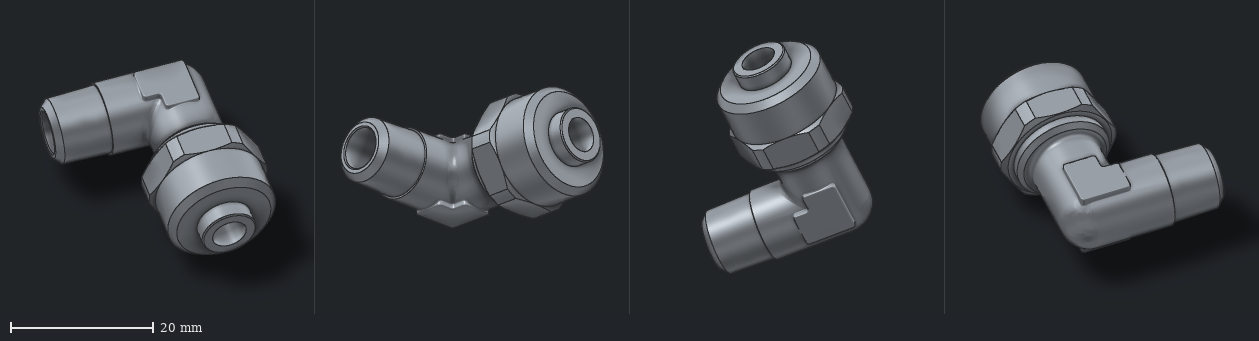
import cadquery as cq
import math


elbow_radius = 5.25
port_shoulder = 10.5
outer_round = 4
inner_round = 1.0

port_length = 18.5
thread_root_radius = 4.95
thread_end_radius = 4.77
port_chamfer = 1.0

neck_start = 9.0
neck_round = 1.0
collar_start = neck_start + neck_round
collar_radius = 7.0
collar_chamfer = 0.75
nut_start = 12
nut_hex_end = 16.45
nut_chamfer_start = 22.0
nut_end = 23.0
overall_length = 30.75
stem_end = overall_length - elbow_radius
stem_radius = 4
stem_chamfer = 0.18

nut_radius = 8
corner_radius = 8.73
hex_face_radius = 7.87
hex_chamfer_angle = 30

port_bore_radius = 3.0
port_bore_mouth_chamfer = 0.18
port_bore_tip = 3.32
drill_half_angle = 59
arm_bore_radius = 2.5

pad_height = 5.5
pad_near = 2.5
pad_far = 5.0
pad_corner_round = 0.5
pad_edge_round = 0.18
pad_foot_round = 0.25

x_axis = (1, 0, 0)
y_axis = (0, 1, 0)

tolerance = 0.003
foot_margin = 0.03


def revolve_profile(points, axis):
    """Full turn of a closed profile about an axis through the origin."""
    return cq.Workplane("XY").polyline(points).close().revolve(360, (0, 0, 0), axis)


def make_elbow():
    """Two equal cylinders mitred at the origin, with the mitre edges still sharp."""
    arm = cq.Workplane("YZ", origin=(-elbow_radius, 0, 0)).circle(elbow_radius)
    arm = arm.extrude(elbow_radius + neck_start)
    port = cq.Workplane("XZ", origin=(0, elbow_radius, 0)).circle(elbow_radius)
    port = port.extrude(elbow_radius + port_shoulder)
    reach = 2 * port_length
    arm_side = cq.Workplane("XY").polyline([(-reach, reach), (reach, reach), (reach, -reach)]).close()
    port_side = cq.Workplane("XY").polyline([(-reach, reach), (-reach, -reach), (reach, -reach)]).close()
    arm = arm.intersect(arm_side.extrude(reach, both=True))
    port = port.intersect(port_side.extrude(reach, both=True))
    return arm.union(port)


def make_pads():
    """L-shaped wrench pads, symmetric about the mitre, on the top and bottom of the elbow."""
    outline = [
        (-pad_near, pad_near),
        (pad_far, pad_near),
        (pad_far, -pad_near),
        (pad_near, -pad_near),
        (pad_near, -pad_far),
        (-pad_near, -pad_far),
    ]
    pads = cq.Workplane("XY").polyline(outline).close().extrude(pad_height, both=True)
    pads = pads.edges("|Z").fillet(pad_corner_round)
    return pads.faces(">Z or <Z").edges().fillet(pad_edge_round)


def mitre_edges(body, side):
    """Elliptical edges on the mitre: side is 1 inside the bend and -1 outside it."""
    edges = []
    for edge in body.edges("%ELLIPSE").vals():
        center = edge.Center()
        on_mitre = abs(center.x + center.y) < tolerance
        if on_mitre and side * center.x > tolerance:
            edges.append(edge)
    return body.newObject(edges)


def pad_foot_edges(side):
    """Selector for the foot of one pad: side is 1 for the top pad and -1 for the bottom one."""
    foot_limit = (elbow_radius + pad_height - pad_edge_round) / 2
    low_corner = (-pad_near - foot_margin, -pad_far - foot_margin, 0)
    high_corner = (pad_far + foot_margin, pad_near + foot_margin, side * foot_limit)
    return cq.selectors.BoxSelector(low_corner, high_corner, boundingbox=True)


def make_padded_elbow():
    """Elbow with its pads, rounded along the mitre first and then around the feet of the pads."""
    body = make_elbow().union(make_pads())
    body = mitre_edges(body, 1).fillet(inner_round)
    body = mitre_edges(body, -1).fillet(outer_round)
    return body.edges(pad_foot_edges(1) + pad_foot_edges(-1)).fillet(pad_foot_round)


def make_thread():
    """Tapered stub with a chamfered mouth, revolved about Y."""
    profile = [
        (0, 0),
        (thread_root_radius, 0),
        (thread_root_radius, -port_shoulder),
        (thread_end_radius, port_chamfer - port_length),
        (thread_end_radius - port_chamfer, -port_length),
        (0, -port_length),
    ]
    return revolve_profile(profile, y_axis)


def make_arm_fittings():
    """Neck round, collar, round part of the nut and hose stem, revolved about X."""
    collar_face = elbow_radius + neck_round
    arc_offset = neck_round * math.sin(math.radians(45))
    arc_middle = (neck_start + arc_offset, collar_face - arc_offset)
    profile = (
        cq.Workplane("XY")
        .moveTo(neck_start, 0)
        .lineTo(neck_start, elbow_radius)
        .threePointArc(arc_middle, (collar_start, collar_face))
        .lineTo(collar_start + collar_chamfer, collar_radius)
        .lineTo(nut_start, collar_radius)
        .lineTo(nut_start, hex_face_radius)
        .lineTo(nut_hex_end, hex_face_radius)
        .lineTo(nut_hex_end, nut_radius)
        .lineTo(nut_chamfer_start, nut_radius)
        .lineTo(nut_end, nut_radius - (nut_end - nut_chamfer_start))
        .lineTo(nut_end, stem_radius)
        .lineTo(stem_end - stem_chamfer, stem_radius)
        .lineTo(stem_end, stem_radius - stem_chamfer)
        .lineTo(stem_end, 0)
        .close()
    )
    return profile.revolve(360, (0, 0, 0), x_axis)


def make_hex():
    """Hexagon with flats facing up and down, its corners turned down and chamfered."""
    across_corners = 2 * nut_radius / math.cos(math.pi / 6)
    hexagon = cq.Workplane("YZ", origin=(nut_start, 0, 0)).polygon(6, across_corners)
    hexagon = hexagon.extrude(nut_hex_end - nut_start)
    chamfer_slope = math.tan(math.radians(hex_chamfer_angle))
    front_chamfer = (corner_radius - hex_face_radius) * chamfer_slope
    back_chamfer = (corner_radius - nut_radius) * chamfer_slope
    profile = [
        (nut_start, 0),
        (nut_start, hex_face_radius),
        (nut_start + front_chamfer, corner_radius),
        (nut_hex_end - back_chamfer, corner_radius),
        (nut_hex_end, nut_radius),
        (nut_hex_end, 0),
    ]
    turned = revolve_profile(profile, x_axis)
    return hexagon.intersect(turned)


def make_bores():
    """Drilled port bore with a conical end, met by the bore of the arm."""
    mouth_radius = port_bore_radius + port_bore_mouth_chamfer
    cone_length = port_bore_radius / math.tan(math.radians(drill_half_angle))
    profile = [
        (0, port_bore_tip),
        (port_bore_radius, port_bore_tip - cone_length),
        (port_bore_radius, port_bore_mouth_chamfer - port_length),
        (mouth_radius, -port_length),
        (0, -port_length),
    ]
    port_bore = revolve_profile(profile, y_axis)
    arm_bore = cq.Workplane("YZ").circle(arm_bore_radius).extrude(stem_end)
    return port_bore.union(arm_bore)


body = make_padded_elbow().union(make_thread()).union(make_arm_fittings()).union(make_hex())
result = body.cut(make_bores())